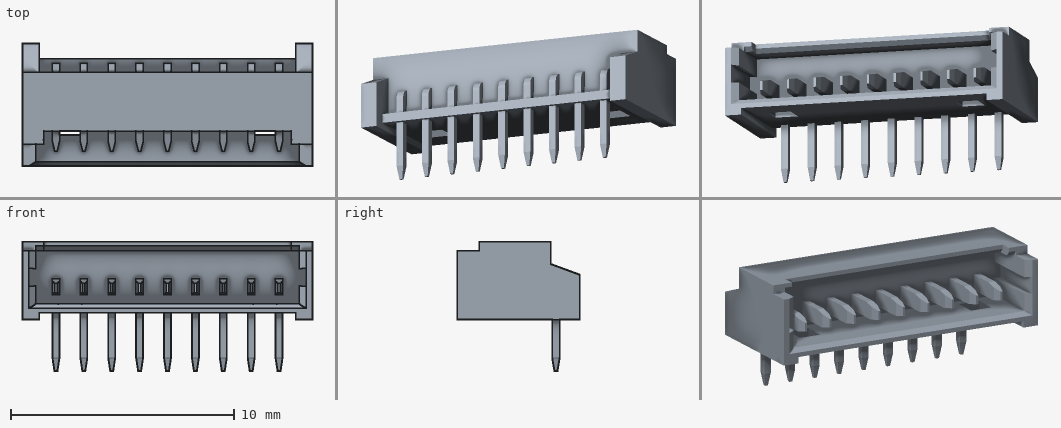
import cadquery as cq


length = 13.0
depth = 5.5
body_height = 3.5
cheek_height = 3.1
cheek_depth = 0.99
wing_width = 0.75
wing_front_height = 2.5
wing_back_height = 2.02
rear_wall_y = 4.2
shelf_back_y = 4.82
foot_width = 0.75
foot_height = 0.3

floor_height = 0.7
ceiling_height = 3.1
side_wall = 0.6
cavity_depth = 2.96
roof_notch_depth = 1.57
roof_notch_width = 11.1
lead_in_depth = 0.2
floor_lead_in = 0.2
side_lead_in = 0.31
roof_lead_in = 0.21

groove_depth = side_lead_in
groove_height = 1.9
groove_mouth = 0.77
groove_bottom = 0.82

window_width = 1.05
window_front_y = 1.4
window_back_y = 2.55

pin_count = 9
row_length = 10.0
pitch = row_length / (pin_count - 1)
pin_width = 0.32
pin_bottom = 1.1
pin_top = 1.83
pin_tip_y = 0.66
pin_tip_width = 0.1
pin_tip_top = 1.62
pin_tip_bottom = 1.21
pin_side_taper_y = 1.1
pin_top_taper_y = 1.59
pin_bottom_taper_y = 1.2
leg_front_y = 4.25
leg_width = 0.35
leg_end = 2.3
leg_taper = 0.6
leg_tip_width = 0.14
bend_radius = 0.44

half_length = length / 2
pin_positions = [pitch * (i - (pin_count - 1) / 2) for i in range(pin_count)]


def box(x0, x1, y0, y1, z0, z1):
    return cq.Workplane("XY").box(x1 - x0, y1 - y0, z1 - z0, centered=False).translate((x0, y0, z0))


def side_profile(points, width):
    """Extrude a (Y, Z) outline along X, centred on X = 0."""
    return cq.Workplane("YZ").polyline(points).close().extrude(width / 2, both=True)


def make_blank():
    """Housing without its cavity."""
    blank = side_profile(
        [
            (0, 0),
            (depth, 0),
            (depth, wing_back_height),
            (rear_wall_y, wing_front_height),
            (rear_wall_y, body_height),
            (cheek_depth, body_height),
            (cheek_depth, cheek_height),
            (0, cheek_height),
        ],
        length,
    )
    wing_inner = half_length - wing_width
    foot_inner = half_length - foot_width
    behind_shelf = box(-wing_inner, wing_inner, shelf_back_y, depth, 0, body_height)
    above_shelf = box(-wing_inner, wing_inner, rear_wall_y, depth, floor_height, body_height)
    under_floor = box(-foot_inner, foot_inner, 0, depth, 0, foot_height)
    return blank.cut(behind_shelf).cut(above_shelf).cut(under_floor)


def make_mouth_bevel():
    """Tapered block that flares the cavity floor and sides toward the mating face."""
    inner = half_length - side_wall
    outer = inner + side_lead_in
    front_bottom = floor_height - floor_lead_in
    front = cq.Workplane("XZ").center(0, (front_bottom + cheek_height) / 2)
    front = front.rect(2 * outer, cheek_height - front_bottom)
    back = front.workplane(offset=-lead_in_depth).center(0, floor_lead_in / 2)
    return back.rect(2 * inner, cheek_height - floor_height).loft(combine=True)


def make_roof_bevel(edge_y, width):
    """Wedge under the front edge of the roof."""
    return side_profile(
        [
            (edge_y, ceiling_height),
            (edge_y, ceiling_height + roof_lead_in),
            (edge_y + lead_in_depth, ceiling_height),
        ],
        width,
    )


def make_groove(side):
    """Keying groove in the side wall at side = -1 or +1."""
    mouth_x = half_length - side_wall
    bottom_x = mouth_x + groove_depth
    outline = [
        (side * mouth_x, groove_height - groove_mouth / 2),
        (side * bottom_x, groove_height - groove_bottom / 2),
        (side * bottom_x, groove_height + groove_bottom / 2),
        (side * mouth_x, groove_height + groove_mouth / 2),
    ]
    return cq.Workplane("XZ").polyline(outline).close().extrude(-cavity_depth)


def make_housing():
    cavity_half = half_length - side_wall
    notch_half = roof_notch_width / 2
    housing = make_blank()
    housing = housing.cut(box(-cavity_half, cavity_half, 0, cavity_depth, floor_height, ceiling_height))
    housing = housing.cut(box(-notch_half, notch_half, 0, roof_notch_depth, floor_height, body_height))
    housing = housing.cut(make_mouth_bevel())
    housing = housing.cut(make_roof_bevel(cheek_depth, 2 * cavity_half))
    housing = housing.cut(make_roof_bevel(roof_notch_depth, roof_notch_width))
    window_x = (pin_positions[-1] + pin_positions[-2]) / 2
    for side in (-1, 1):
        housing = housing.cut(make_groove(side))
        window_start = side * window_x - window_width / 2
        window_end = side * window_x + window_width / 2
        housing = housing.cut(
            box(window_start, window_end, window_front_y, window_back_y, 0, floor_height)
        )
    return housing


def make_pin():
    """Right-angle pin at X = 0, tapered on all four sides at both ends."""
    leg_back_y = leg_front_y + leg_width
    leg_y = leg_front_y + leg_width / 2
    half_leg_tip = leg_tip_width / 2
    half_tip = pin_tip_width / 2
    half_pin = pin_width / 2
    taper_start = leg_taper - leg_end
    profile = (
        cq.Workplane("YZ")
        .moveTo(pin_tip_y, pin_tip_bottom)
        .lineTo(pin_tip_y, pin_tip_top)
        .lineTo(pin_top_taper_y, pin_top)
        .lineTo(leg_back_y - bend_radius, pin_top)
        .radiusArc((leg_back_y, pin_top - bend_radius), bend_radius)
        .lineTo(leg_back_y, taper_start)
        .lineTo(leg_y + half_leg_tip, -leg_end)
        .lineTo(leg_y - half_leg_tip, -leg_end)
        .lineTo(leg_front_y, taper_start)
        .lineTo(leg_front_y, pin_bottom)
        .lineTo(pin_bottom_taper_y, pin_bottom)
        .close()
        .extrude(half_pin, both=True)
    )
    plan = (
        cq.Workplane("XY", origin=(0, 0, -leg_end))
        .polyline(
            [
                (-half_tip, pin_tip_y),
                (half_tip, pin_tip_y),
                (half_pin, pin_side_taper_y),
                (half_pin, leg_back_y),
                (-half_pin, leg_back_y),
                (-half_pin, pin_side_taper_y),
            ]
        )
        .close()
        .extrude(leg_end + pin_top)
    )
    elevation = (
        cq.Workplane("XZ")
        .polyline(
            [
                (-half_leg_tip, -leg_end),
                (half_leg_tip, -leg_end),
                (half_pin, taper_start),
                (half_pin, pin_top),
                (-half_pin, pin_top),
                (-half_pin, taper_start),
            ]
        )
        .close()
        .extrude(-leg_back_y)
    )
    return profile.intersect(plan).intersect(elevation)


result = make_housing()
pin = make_pin()
for x in pin_positions:
    result = result.union(pin.translate((x, 0, 0)))